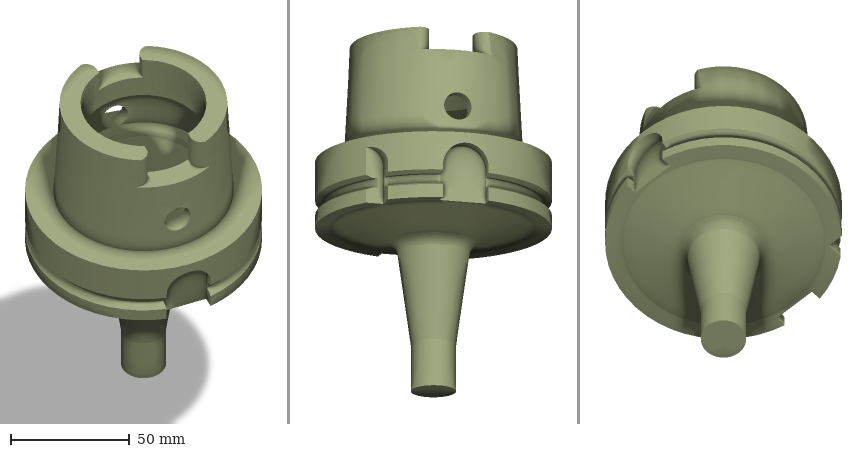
import cadquery as cq
import math

total_height = 149.9
nose_top = 20.2
neck_top = 63.5
flange_bottom = 71.2
flange_top = 100.0

nose_radius = 19.2 / 2
neck_radius = 15.7
hub_radius = 42.9
flange_radius = 100.0 / 2
shank_base_radius = 38.0
shank_top_radius = 35.4
neck_fillet = 5.0

groove_radius = 46.0
groove_bottom = 78.1
groove_top = 82.1
groove_bevel_width = 2.4
groove_bevel_height = 1.2

bore_radius = 53.0 / 2
undercut_radius = 63.1 / 2
recess_floor_radius = 24.9
bore_floor = 109.3
lip_bottom = 129.8
lip_angle = 30.0
undercut_top = lip_bottom - (undercut_radius - bore_radius) * math.tan(math.radians(lip_angle))
recess_floor = bore_floor - (bore_radius - recess_floor_radius)

drive_notch_width = 20.0
prong_half_length = 32.1
prong_corner_radius = 5.1
notch_floor_left = 139.9
notch_floor_right = 134.9

cross_hole_diameter = 12.0
cross_hole_height = flange_top + 15.0

key_slot_width = 20.1
key_slot_top = 95.5
key_slot_floor = 44.0
index_notch_width = 15.9
index_notch_top = 95.5
index_notch_floor = 31.5
index_notch_center = 39.3


def make_body():
    """Revolve the outer outline and round the corner under the hub."""
    bevel_radius = flange_radius - groove_bevel_width
    outline = [
        (0, 0),
        (nose_radius, 0),
        (nose_radius, nose_top),
        (neck_radius, neck_top),
        (hub_radius, flange_bottom),
        (flange_radius, flange_bottom),
        (flange_radius, groove_bottom - groove_bevel_height),
        (bevel_radius, groove_bottom),
        (groove_radius, groove_bottom),
        (groove_radius, groove_top),
        (bevel_radius, groove_top),
        (flange_radius, groove_top + groove_bevel_height),
        (flange_radius, flange_top),
        (shank_base_radius, flange_top),
        (shank_top_radius, total_height),
        (0, total_height),
    ]
    body = cq.Workplane("XZ").polyline(outline).close().revolve(360, (0, 0), (0, 1))
    corner = cq.selectors.BoxSelector(
        (-flange_radius, -flange_radius, neck_top - 0.1),
        (flange_radius, flange_radius, neck_top + 0.1),
        boundingbox=True,
    )
    return body.edges(corner).edges("%CIRCLE").fillet(neck_fillet)


def make_bore():
    outline = [
        (0, recess_floor),
        (recess_floor_radius, recess_floor),
        (bore_radius, bore_floor),
        (undercut_radius, bore_floor),
        (undercut_radius, undercut_top),
        (bore_radius, lip_bottom),
        (bore_radius, total_height),
        (0, total_height),
    ]
    return cq.Workplane("XZ").polyline(outline).close().revolve(360, (0, 0), (0, 1))


def make_drive_notch(side, floor):
    """Clear one side of the rim down to floor, leaving two prongs with rounded corners."""
    depth = total_height - floor
    prong_width = shank_base_radius - drive_notch_width / 2
    prong_center = (shank_base_radius + drive_notch_width / 2) / 2
    clearance = (
        cq.Workplane("XY", origin=(side * shank_base_radius / 2, 0, floor))
        .rect(shank_base_radius, 2 * shank_base_radius)
        .extrude(depth)
    )
    prongs = (
        cq.Workplane("XY", origin=(0, 0, floor))
        .pushPoints([(0, prong_center), (0, -prong_center)])
        .rect(2 * prong_half_length, prong_width)
        .extrude(depth)
        .edges("|Z")
        .fillet(prong_corner_radius)
    )
    return clearance.cut(prongs)


def make_flange_slot(side, center_y, width, top, floor_x):
    """Arched slot cut along X from the rim to a flat floor at distance floor_x."""
    spring = top - width / 2
    return (
        cq.Workplane("YZ", origin=(side * floor_x, 0, 0))
        .moveTo(center_y - width / 2, flange_bottom)
        .lineTo(center_y - width / 2, spring)
        .threePointArc((center_y, top), (center_y + width / 2, spring))
        .lineTo(center_y + width / 2, flange_bottom)
        .close()
        .extrude(side * flange_radius)
    )


cross_hole = (
    cq.Workplane("YZ", origin=(0, 0, cross_hole_height))
    .circle(cross_hole_diameter / 2)
    .extrude(flange_radius, both=True)
)

result = make_body().cut(make_bore()).cut(cross_hole)
for side, notch_floor in ((-1, notch_floor_left), (1, notch_floor_right)):
    result = result.cut(make_drive_notch(side, notch_floor))
    result = result.cut(make_flange_slot(side, 0, key_slot_width, key_slot_top, key_slot_floor))
result = result.cut(
    make_flange_slot(-1, index_notch_center, index_notch_width, index_notch_top, index_notch_floor)
)